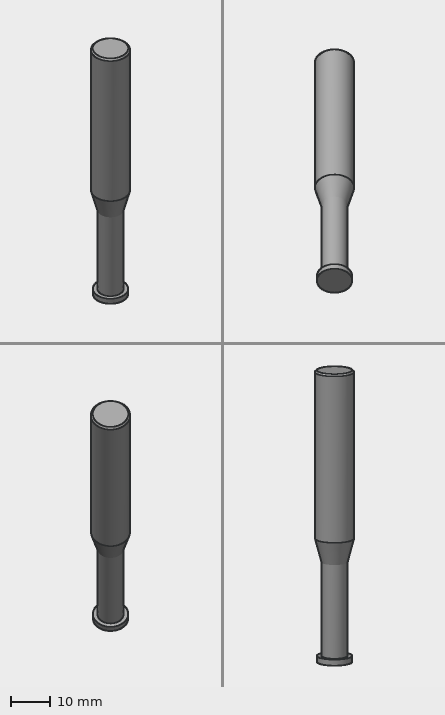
import math

import cadquery as cq

overall_length = 76.0
shank_diameter = 10.0
end_chamfer = 0.5
neck_diameter = 6.7
taper_start = 26.0
taper_half_angle = 15.0
disc_diameter = 9.0
disc_thickness = 1.6

shank_radius = shank_diameter / 2
neck_radius = neck_diameter / 2
taper_height = (shank_radius - neck_radius) / math.tan(math.radians(taper_half_angle))
shank_bottom = taper_start + taper_height


def make_disc():
    """Flat cutting disc at the lower end."""
    return cq.Workplane("XY").circle(disc_diameter / 2).extrude(disc_thickness)


def make_neck():
    """Slim cylinder above the disc, flaring out to the shank diameter."""
    half_profile = (
        cq.Workplane("XZ")
        .moveTo(0, disc_thickness)
        .lineTo(neck_radius, disc_thickness)
        .lineTo(neck_radius, taper_start)
        .lineTo(shank_radius, shank_bottom)
        .lineTo(0, shank_bottom)
        .close()
    )
    return half_profile.revolve(360, (0, 0, 0), (0, 1, 0))


def make_shank():
    """Plain cylinder with a chamfered upper end."""
    return (
        cq.Workplane("XY")
        .workplane(offset=shank_bottom)
        .circle(shank_radius)
        .extrude(overall_length - shank_bottom)
        .faces(">Z")
        .chamfer(end_chamfer)
    )


disc = make_disc()
neck = make_neck()
shank = make_shank()

result = cq.Compound.makeCompound([disc.val(), neck.val(), shank.val()])